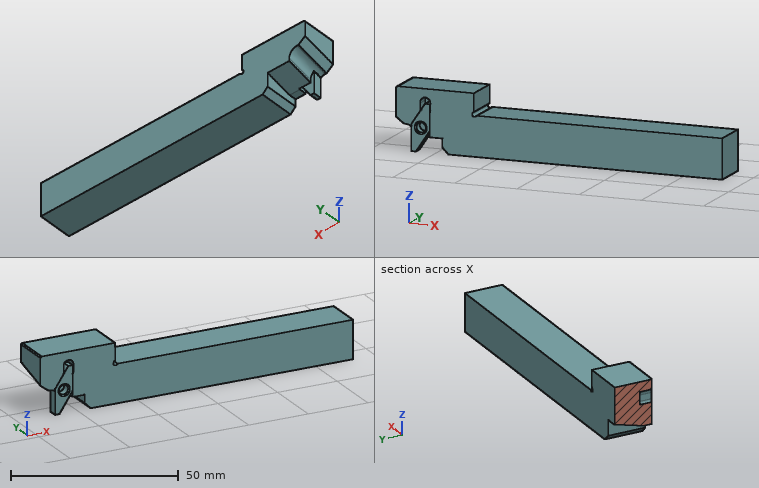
import cadquery as cq
import math

length = 105.0
shank = 12.7
head_length = 25.1
head_height = 19.5
top_chamfer = 0.4
relief_radius = 0.7
relief_x = head_length + 0.16
relief_z = shank + 0.3

clearance_rise = 3.3
nose_z = 10.2
ledge_start = 2.6
ledge_end = 3.2
ledge_z = 8.2
fillet_radius = 3.2
seat_left = ledge_end + fillet_radius
seat_z = 4.0
notch_right = 14.9
notch_z = 4.7
notch_chamfer = 2.0
overcut = 5.2

insert_thickness = 3.0
insert_left = 4.9
insert_right = 10.8
insert_top = 14.9
tip_width = 1.5
flank_height = 8.3
hole_radius = 1.52
countersink_radius = 1.94
countersink_depth = countersink_radius - hole_radius
hole_x = 8.0
hole_z = insert_top / 2

slot_radius = 1.7
slot_x = 9.5
slot_top_center_z = 15.1
slot_bottom_center_z = 13.0
slot_depth = 4.0


def front_plane(y=0.0):
    """Sketch plane with x right and z up; positive extrusion goes toward -Y."""
    return cq.Workplane("XZ", origin=(0, y, 0))


def clearance_profile(y, rise):
    """Lower edge of the head at depth y, raised by the given amount."""
    slope = (ledge_z - nose_z) / ledge_start
    arc_mid = (
        ledge_end + fillet_radius * math.sin(math.pi / 4),
        ledge_z - fillet_radius * (1 - math.cos(math.pi / 4)) + rise,
    )
    outline = (
        front_plane(y)
        .moveTo(-overcut, nose_z - overcut * slope + rise)
        .lineTo(ledge_start, ledge_z + rise)
        .lineTo(ledge_end, ledge_z + rise)
        .threePointArc(arc_mid, (seat_left, ledge_z - fillet_radius + rise))
        .lineTo(seat_left, seat_z + rise)
        .lineTo(notch_right, seat_z + rise)
        .lineTo(notch_right, -overcut)
        .lineTo(-overcut, -overcut)
        .close()
    )
    return outline.val()


def make_clearance():
    profiles = [clearance_profile(0, 0), clearance_profile(shank, clearance_rise)]
    return cq.Workplane(cq.Solid.makeLoft(profiles, True))


def make_front_notch():
    """Level underside of the holder beside the insert."""
    return (
        front_plane()
        .moveTo(seat_left, -overcut)
        .lineTo(notch_right, -overcut)
        .lineTo(notch_right, notch_z)
        .lineTo(seat_left, notch_z)
        .close()
        .extrude(-insert_thickness)
    )


def make_pocket():
    """Insert seat, open at the bottom."""
    return (
        front_plane()
        .moveTo(insert_left, -overcut)
        .lineTo(insert_right, -overcut)
        .lineTo(insert_right, insert_top)
        .lineTo(insert_right - tip_width, insert_top)
        .lineTo(insert_left, flank_height)
        .close()
        .extrude(-insert_thickness)
    )


def make_slot():
    center_spacing = slot_top_center_z - slot_bottom_center_z
    return (
        front_plane()
        .center(slot_x, (slot_top_center_z + slot_bottom_center_z) / 2)
        .slot2D(center_spacing + 2 * slot_radius, 2 * slot_radius, 90)
        .extrude(-slot_depth)
    )


def make_holder():
    body = (
        front_plane()
        .moveTo(0, 0)
        .lineTo(length, 0)
        .lineTo(length, shank)
        .lineTo(head_length, shank)
        .lineTo(head_length, head_height)
        .lineTo(top_chamfer, head_height)
        .lineTo(0, head_height - top_chamfer)
        .close()
        .extrude(-shank)
    )
    corner_relief = front_plane().center(relief_x, relief_z).circle(relief_radius).extrude(-shank)
    notch_corner = (
        front_plane()
        .moveTo(notch_right, 0)
        .lineTo(notch_right + notch_chamfer, 0)
        .lineTo(notch_right, notch_chamfer)
        .close()
        .extrude(-shank)
    )
    cutters = [
        corner_relief,
        make_clearance(),
        make_front_notch(),
        notch_corner,
        make_pocket(),
        make_slot(),
    ]
    for cutter in cutters:
        body = body.cut(cutter)
    return body


def make_insert():
    plate = (
        front_plane()
        .moveTo(insert_left, 0)
        .lineTo(insert_left + tip_width, 0)
        .lineTo(insert_right, insert_top - flank_height)
        .lineTo(insert_right, insert_top)
        .lineTo(insert_right - tip_width, insert_top)
        .lineTo(insert_left, flank_height)
        .close()
        .extrude(-insert_thickness)
    )
    hole = front_plane().center(hole_x, hole_z).circle(hole_radius).extrude(-insert_thickness)
    countersink = cq.Workplane(
        cq.Solid.makeCone(
            countersink_radius,
            hole_radius,
            countersink_depth,
            pnt=cq.Vector(hole_x, 0, hole_z),
            dir=cq.Vector(0, 1, 0),
        )
    )
    return plate.cut(hole).cut(countersink)


holder = make_holder()
insert = make_insert()
result = cq.Compound.makeCompound([holder.solids().val(), insert.solids().val()])